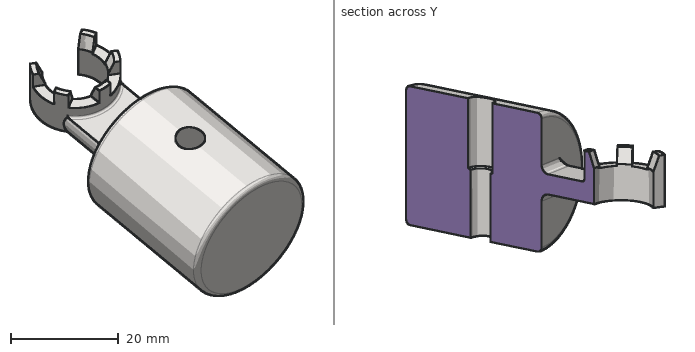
import cadquery as cq
import math

body_diameter = 27.0
body_length = 31.0
body_edge_fillet = 1.0

upper_hole_diameter = 5.5
lower_hole_diameter = 4.5
hole_x = 14.0
shoulder_z = 0.0
drill_point_angle = 118.0

arm_width = 14.0
arm_side_radius = 5.0
arm_thickness = 4.0
arm_root_fillet = 1.5

clip_x = -18.05
clip_outer_diameter = 16.8
clip_inner_diameter = 12.2
clip_height = 10.0
tooth_height = clip_height / 3
tooth_width = 2.8
tooth_pitch = 60.0
tooth_angles = [i * tooth_pitch for i in range(-2, 3)]
tooth_tip_inner_radius = 7.25
tooth_slope_angle = 21.0
clip_arm_fillet = 0.5

body_radius = body_diameter / 2
arm_half_width = arm_width / 2
arm_top = arm_thickness / 2
clip_outer_radius = clip_outer_diameter / 2
clip_inner_radius = clip_inner_diameter / 2
clip_bottom = -arm_top
clip_top = clip_bottom + clip_height
ring_top = clip_top - tooth_height


def clip_disc(radius, bottom, top):
    """Solid disc on the clip axis between two heights."""
    return cq.Workplane("XY", origin=(clip_x, 0, bottom)).circle(radius).extrude(top - bottom)


def clip_cone(bottom_radius, bottom, top_radius, top):
    """Solid truncated cone on the clip axis between two heights."""
    profile = [(0, bottom), (bottom_radius, bottom), (top_radius, top), (0, top)]
    cone = cq.Workplane("XZ").polyline(profile).close().revolve(360, (0, 0), (0, 1))
    return cone.translate((clip_x, 0, 0))


def make_body():
    body = cq.Workplane("YZ").circle(body_radius).extrude(body_length)
    return body.edges().fillet(body_edge_fillet)


def side_bulge_drop(height):
    """How far the arm side lies inside its widest point at a height above or below the axis."""
    return arm_side_radius - math.sqrt(arm_side_radius**2 - height**2)


def make_arm():
    """Flat bar with bulging sides whose top and bottom flare into the body face with a round fillet."""
    root_height = arm_top + arm_root_fillet
    fillet_start = -arm_root_fillet
    bend = arm_root_fillet * (1 - math.sqrt(0.5))
    side = (
        cq.Workplane("XZ")
        .moveTo(clip_x, -arm_top)
        .lineTo(fillet_start, -arm_top)
        .threePointArc((-bend, -arm_top - bend), (0, -root_height))
        .lineTo(body_edge_fillet, -root_height)
        .lineTo(body_edge_fillet, root_height)
        .lineTo(0, root_height)
        .threePointArc((-bend, arm_top + bend), (fillet_start, arm_top))
        .lineTo(clip_x, arm_top)
        .close()
        .extrude(arm_half_width, both=True)
    )
    root_half_width = arm_half_width - side_bulge_drop(root_height)
    bar = (
        cq.Workplane("YZ", origin=(clip_x, 0, 0))
        .moveTo(-root_half_width, -root_height)
        .lineTo(root_half_width, -root_height)
        .threePointArc((arm_half_width, 0), (root_half_width, root_height))
        .lineTo(-root_half_width, root_height)
        .threePointArc((-arm_half_width, 0), (-root_half_width, -root_height))
        .close()
        .extrude(body_edge_fillet - clip_x)
    )
    return side.intersect(bar)


def make_teeth_block():
    """Radial bars, one per tooth, that bound the teeth sideways."""
    bars = cq.Workplane("XY")
    for angle in tooth_angles:
        bar = (
            cq.Workplane("XY", origin=(0, 0, clip_bottom))
            .rect(clip_outer_diameter, tooth_width)
            .extrude(clip_height)
            .translate((clip_outer_radius, 0, 0))
            .rotate((0, 0, 0), (0, 0, 1), angle)
            .translate((clip_x, 0, 0))
        )
        bars = bars.add(bar)
    return bars.combine()


def make_opening():
    """Wedge toward -X, bounded by the outer sides of the two end teeth."""
    end_angle = math.radians(tooth_angles[-1])
    half_width = tooth_width / 2
    apex_x = clip_x - half_width / math.sin(end_angle)
    reach = 2 * clip_outer_radius
    far_x = apex_x + reach * math.cos(end_angle)
    far_y = reach * math.sin(end_angle)
    wedge = cq.Workplane("XY", origin=(0, 0, clip_bottom))
    return wedge.polyline([(apex_x, 0), (far_x, far_y), (far_x, -far_y)]).close().extrude(clip_height)


def make_clip():
    ring = clip_disc(clip_outer_radius, clip_bottom, ring_top)
    teeth = clip_disc(clip_outer_radius, ring_top, clip_top).intersect(make_teeth_block())
    slope_run = tooth_height * math.tan(math.radians(tooth_slope_angle))
    tooth_relief = clip_cone(tooth_tip_inner_radius - slope_run, ring_top, tooth_tip_inner_radius, clip_top)
    return ring.union(teeth.cut(tooth_relief)).cut(make_opening())


def make_clip_collar():
    """Concave fillet where the outside of the clip stands on the top of the arm."""
    collar_radius = clip_outer_radius + clip_arm_fillet
    collar_top = arm_top + clip_arm_fillet
    bend = clip_arm_fillet * (1 - math.sqrt(0.5))
    collar = (
        cq.Workplane("XZ")
        .moveTo(0, arm_top)
        .lineTo(collar_radius, arm_top)
        .threePointArc((clip_outer_radius + bend, arm_top + bend), (clip_outer_radius, collar_top))
        .lineTo(0, collar_top)
        .close()
        .revolve(360, (0, 0), (0, 1))
        .translate((clip_x, 0, 0))
    )
    arm_flat_width = 2 * (arm_half_width - side_bulge_drop(arm_top))
    limit = cq.Workplane("XY").box(-clip_x, arm_flat_width, clip_height, centered=(False, True, True))
    return collar.intersect(limit.translate((clip_x, 0, 0)))


def make_hole():
    """Stepped hole along Z, its two bores joined by a conical shoulder."""
    upper_radius = upper_hole_diameter / 2
    lower_radius = lower_hole_diameter / 2
    shoulder_depth = (upper_radius - lower_radius) / math.tan(math.radians(drill_point_angle / 2))
    profile = [
        (0, -body_radius),
        (lower_radius, -body_radius),
        (lower_radius, shoulder_z - shoulder_depth),
        (upper_radius, shoulder_z),
        (upper_radius, body_radius),
        (0, body_radius),
    ]
    hole = cq.Workplane("XZ").polyline(profile).close().revolve(360, (0, 0), (0, 1))
    return hole.translate((hole_x, 0, 0))


bore = clip_disc(clip_inner_radius, clip_bottom, clip_top)
result = make_body().union(make_arm()).union(make_clip_collar()).union(make_clip())
result = result.cut(bore).cut(make_hole())